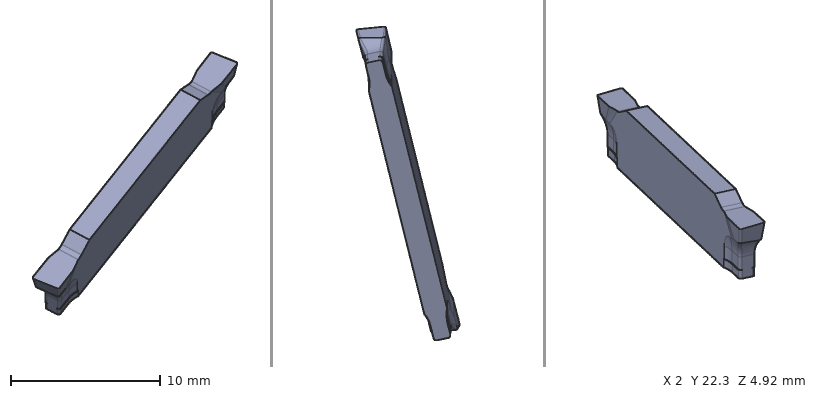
import cadquery as cq
import math

half_length = 11.13
height = 4.92
body_half_width = 0.79
crest_half_length = 6.81
shoulder_angle = 30.0
shoulder_radius = 0.78

margin = 1.11

head_top = 4.25
head_base = 2.67
head_half_width = 1.0
shoulder_half_width = 0.98
head_base_half_width = 0.87
shoulder_base_half_width = 0.82
root_y = 8.21
shoulder_y = 9.1
root_base_y = 9.45
shoulder_base_y = 9.97
head_inner_y = 7.92
skew_drop = 0.25
front_relief_angle = 10.0
nose_radius = 0.13

neck_end_y = 10.22
neck_straight_top = 1.67
front_arc_radius = 1.78
front_arc_angle = 70.0
neck_half_width = 0.62
foot_height = 0.67
foot_inset = 0.05
neck_corner_radius = 0.2
curve_pick_height = 0.67
pocket_radius = 2.1
pocket_height_radius = 2.75

skew_angle = math.atan(skew_drop / (2 * head_half_width))
sharp_half_length = half_length + nose_radius * (math.tan(skew_angle) + 1 / math.cos(skew_angle) - 1)

valley_y = crest_half_length + (height - head_top) / math.tan(math.radians(shoulder_angle))


def side_solid(outline, half_width):
    """Extrude an outline in the YZ plane symmetrically across X."""
    return outline.close().extrude(half_width, both=True)


def make_body():
    """Central plate with sloping shoulders and a low block towards each end."""
    low_block = cq.Workplane("XY").box(
        2 * body_half_width, 2 * half_length, head_base, centered=(True, True, False)
    )
    crest = cq.Workplane("YZ").polyline([
        (-root_base_y, 0),
        (root_base_y, 0),
        (root_base_y, head_top),
        (valley_y, head_top),
        (crest_half_length, height),
        (-crest_half_length, height),
        (-valley_y, head_top),
        (-root_base_y, head_top),
    ])
    plate = side_solid(crest, body_half_width)
    for y in (-valley_y, valley_y):
        valley = cq.selectors.NearestToPointSelector((0, y, head_top))
        plate = plate.edges(valley).fillet(shoulder_radius)
    return plate.union(low_block)


def head_outline(root, shoulder, shoulder_width, front, front_width):
    """Plan outline of the -Y head, with its skewed front edge."""
    inner_y = -head_inner_y
    return [
        (-body_half_width, inner_y),
        (-body_half_width, -root),
        (-shoulder_width, -shoulder),
        (-front_width, -front),
        (front_width, -front + skew_drop),
        (shoulder_width, -shoulder),
        (body_half_width, -root),
        (body_half_width, inner_y),
    ]


def make_head():
    """Head at the -Y end, tapering downwards on its sides and front."""
    depth = head_top - head_base
    base_front = sharp_half_length - depth * math.tan(math.radians(front_relief_angle))
    base = head_outline(root_base_y, shoulder_base_y, shoulder_base_half_width,
                        base_front, head_base_half_width)
    top = head_outline(root_y, shoulder_y, shoulder_half_width,
                       sharp_half_length, head_half_width)
    head = (
        cq.Workplane("XY").workplane(offset=head_base).polyline(base).close()
        .workplane(offset=depth).polyline(top).close()
        .loft(ruled=True)
    )
    mid_z = (head_base + head_top) / 2
    mid_front = (sharp_half_length + base_front) / 2
    mid_half_width = (head_half_width + head_base_half_width) / 2
    for x, y in ((-mid_half_width, -mid_front), (mid_half_width, -mid_front + skew_drop)):
        head = head.edges(cq.selectors.NearestToPointSelector((x, y, mid_z))).fillet(nose_radius)
    return head


def make_front_clearance():
    """Space in front of the -Y neck, curving out under the head."""
    def arc_point(angle):
        turn = math.radians(angle)
        return (-neck_end_y - front_arc_radius * (1 - math.cos(turn)),
                neck_straight_top + front_arc_radius * math.sin(turn))

    outer_y = -half_length - front_arc_radius
    outline = (
        cq.Workplane("YZ").moveTo(-neck_end_y, -margin).lineTo(-neck_end_y, neck_straight_top)
        .threePointArc(arc_point(front_arc_angle / 2), arc_point(front_arc_angle))
        .lineTo(outer_y, arc_point(front_arc_angle)[1]).lineTo(outer_y, -margin)
    )
    return side_solid(outline, 2 * head_half_width)


def make_pocket(half_width, straight_top):
    """Clearance on the +X side of the -Y neck, rounded inwards and upwards."""
    center = (half_width + pocket_radius, -shoulder_y)
    run = half_length + margin - shoulder_y
    post = cq.Workplane("XY").center(*center).circle(pocket_radius).extrude(straight_top)
    block = cq.Workplane("XY").box(
        2 * pocket_radius, run, straight_top, centered=(True, False, False)
    ).translate((center[0], center[1] - run, 0))
    return post.union(block)


def make_pocket_roof():
    """Ellipsoidal end and elliptical run above the straight part of a pocket."""
    stretch = cq.Matrix([
        [1, 0, 0, neck_half_width + pocket_radius],
        [0, 1, 0, -shoulder_y],
        [0, 0, pocket_height_radius / pocket_radius, neck_straight_top],
        [0, 0, 0, 1],
    ])
    run = half_length + margin - shoulder_y
    ball = cq.Workplane("XY").sphere(pocket_radius).val().transformGeometry(stretch)
    tunnel = (
        cq.Workplane("XZ", origin=(0, -shoulder_y, 0))
        .center(neck_half_width + pocket_radius, neck_straight_top)
        .ellipse(pocket_radius, pocket_height_radius).extrude(run)
    )
    above = cq.Workplane("XY").box(
        4 * pocket_radius + 4 * neck_half_width, 4 * half_length, 2 * height, centered=(True, True, False)
    )
    above = above.translate((0, 0, neck_straight_top))
    return [cq.Workplane(ball).intersect(above), tunnel.intersect(above)]


def round_neck_corners(part):
    """Round the front edges of both necks, following the curve up under the heads."""
    for x in (-neck_half_width, neck_half_width):
        for y in (-neck_end_y, neck_end_y):
            upright = cq.selectors.NearestToPointSelector((x, y, neck_straight_top / 2))
            curved = cq.selectors.NearestToPointSelector((x, y, neck_straight_top + curve_pick_height))
            part = part.edges(upright + curved).fillet(neck_corner_radius)
    return part


def make_foot_corner(side):
    """Waste outside one rounded upright corner of the -Y foot."""
    corner_x = side * (neck_half_width - foot_inset)
    center_x = corner_x - side * neck_corner_radius
    center_y = neck_corner_radius - neck_end_y
    block = cq.Workplane("XY").box(
        neck_corner_radius, neck_corner_radius, foot_height, centered=(True, True, False)
    ).translate(((corner_x + center_x) / 2, (center_y - neck_end_y) / 2, 0))
    post = cq.Workplane("XY").center(center_x, center_y).circle(neck_corner_radius).extrude(foot_height)
    return block.cut(post)


def both_ends(shape):
    """The -Y shape and its copy turned half a revolution about Z."""
    return [shape, shape.rotate((0, 0, 0), (0, 0, 1), 180)]


result = make_body()
for head in both_ends(make_head()):
    result = result.union(head)

neck_cuts = [make_front_clearance()]
for cut in [make_pocket(neck_half_width, neck_straight_top)] + make_pocket_roof():
    neck_cuts += [cut, cut.mirror("YZ")]
for neck_cut in neck_cuts:
    for cut in both_ends(neck_cut):
        result = result.cut(cut)
result = round_neck_corners(result)

foot_pocket = make_pocket(neck_half_width - foot_inset, foot_height)
foot_cuts = [foot_pocket, foot_pocket.mirror("YZ"), make_foot_corner(-1), make_foot_corner(1)]
for foot_cut in foot_cuts:
    for cut in both_ends(foot_cut):
        result = result.cut(cut)